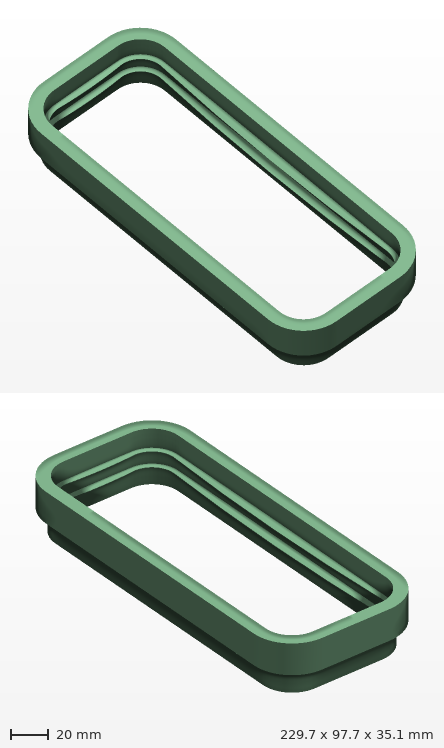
import cadquery as cq
import math

rim_length = 229.7
rim_width = 97.7
rim_corner_radius = 25.85
total_height = 35.1
spigot_height = 15.1
spigot_step = 6.35
bore_wall = 8.15

lip_tip_heights = (12.65, 22.65)
lip_corner_reach = 3.0
long_side_bulge = 2.4
short_side_bulge = 0.9
lip_slope_angle = 7.0
lip_tip_thickness = 0.3

corner_x = rim_length / 2 - rim_corner_radius
corner_y = rim_width / 2 - rim_corner_radius
bore_radius = rim_corner_radius - bore_wall
lip_radius = bore_radius - lip_corner_reach

slope_margin = 0.6
slope_run = lip_corner_reach + long_side_bulge + slope_margin
slope_height = slope_run * math.tan(math.radians(lip_slope_angle))


def rounded_block(inset, bottom, height):
    """Rounded rectangular block, inset evenly from the rim's outer wall."""
    return (
        cq.Workplane("XY", origin=(0, 0, bottom))
        .rect(rim_length - 2 * inset, rim_width - 2 * inset)
        .extrude(height)
        .edges("|Z")
        .fillet(rim_corner_radius - inset)
    )


def lip_outline(radius, height):
    """Closed outline with round corners, its sides bowed inwards and its short sides split midway."""
    side_x = corner_x + radius
    side_y = corner_y + radius
    diagonal = radius * math.sqrt(0.5)
    quarter_x = side_x - 0.75 * short_side_bulge
    crown_x = side_x - short_side_bulge
    crown_y = side_y - long_side_bulge
    half_outline = [
        ((crown_x, 0), (quarter_x, corner_y / 2), (side_x, corner_y)),
        ((side_x, corner_y), (corner_x + diagonal, corner_y + diagonal), (corner_x, side_y)),
        ((corner_x, side_y), (0, crown_y), (-corner_x, side_y)),
        ((-corner_x, side_y), (-corner_x - diagonal, corner_y + diagonal), (-side_x, corner_y)),
        ((-side_x, corner_y), (-quarter_x, corner_y / 2), (-crown_x, 0)),
    ]
    edges = []
    for turn in (1, -1):
        for arc in half_outline:
            points = [cq.Vector(turn * x, turn * y, height) for x, y in arc]
            edges.append(cq.Edge.makeThreePointArc(*points))
    return cq.Wire.assembleEdges(edges)


def sealing_lip(tip_height):
    """Ring whose top slopes down at a constant angle from the bore wall to its inner tip; flat underside."""
    bottom = tip_height - lip_tip_thickness
    tip = lip_outline(lip_radius, tip_height)
    beyond_wall = lip_outline(lip_radius + slope_run, tip_height + slope_height)
    slope = cq.Solid.makeLoft([tip, beyond_wall], True)
    tip_base = lip_outline(lip_radius, bottom)
    opening = cq.Solid.extrudeLinear(tip_base, [], cq.Vector(0, 0, lip_tip_thickness))
    return rounded_block(bore_wall, bottom, lip_tip_thickness + slope_height).cut(slope).cut(opening)


rim = rounded_block(0, spigot_height, total_height - spigot_height)
spigot = rounded_block(spigot_step, 0, spigot_height)
result = rim.union(spigot).cut(rounded_block(bore_wall, 0, total_height))

for lip_tip_height in lip_tip_heights:
    result = result.union(sealing_lip(lip_tip_height))